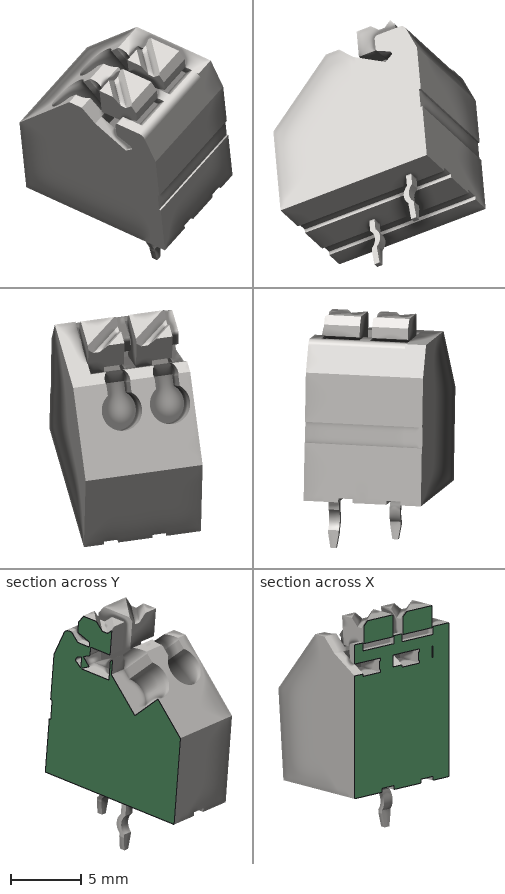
import cadquery as cq
import math

TILT = 5.0

POLE_PITCH = 3.5
POLE_OFFSETS = [0, POLE_PITCH]

LENGTH = 12.0
WIDTH = 8.5
HEIGHT = 11.5
WIRE_FACE_FOOT = 6.76
WIRE_FACE_RUN = HEIGHT - WIRE_FACE_FOOT
BACK_SLOPE_FOOT = 9.24
BACK_SLOPE_RUN = 0.89
BACK_RECESS_BOTTOM = 4.18
BACK_RECESS_TOP = 5.69
BACK_RECESS_DEPTH = 0.14
END_WALL = 1.5
SLOT_SIDE_WIDTH = WIDTH - END_WALL
RIDGE_RADIUS = 0.51

SLOT_START = 5.8
RAMP_CORNER = (6.88, 10.44)
RAMP_END = (9.41, 9.0)
HOOK_TIP = (10.03, 9.48)
HOOK_TIP_TOP = (9.87, 9.72)
HOOK_HEEL = (8.71, 10.23)
SLOT_OPENING = HOOK_HEEL[0]
HOOK_TIP_RADIUS = 0.14
HOOK_RADIUS = 0.25

CHANNEL_START = 2.51
CHANNEL_WIDTH = 1.02
CHANNEL_DEPTH = 0.29

ENTRY_Y = 1.75
ENTRY_RISE = 4.63
BORE_RADIUS = 1.45
NECK_WIDTH = 1.73
CROWN_RADIUS = 0.9
CROWN_RISE = 2.19
ENTRY_DEPTH = 2.78
ENTRY_END = 6.65

POCKET_START = 0.79
POCKET_WIDTH = 2.75
POCKET_END = 10.52
LEVER_CLEARANCE = 0.07
LEVER_WIDTH = POCKET_WIDTH - 2 * LEVER_CLEARANCE
LEVER_FRONT = 6.9
LEVER_BACK = 10.01
LEVER_TOP = 13.07
LEVER_BOTTOM = 10.9
LEVER_BACK_BOTTOM = 11.63
LEVER_HEEL = (8.88, 11.24)
LEVER_CHAMFER_LENGTH = 0.43
LEVER_CHAMFER_HEIGHT = 0.63
STEM_WIDTH = 1.16
STEM_FOOT = (8.71, 9.38)
STEM_SHOULDER = (9.27, 9.95)
ARM_END = 9.5
ARM_TOP = 10.0
ARM_STEP = 0.07
STEM_OFFSET = POCKET_START + LEVER_CLEARANCE + LEVER_WIDTH - STEM_WIDTH

GROOVE_X = 8.92
GROOVE_DEPTH = 0.56
GROOVE_FLOOR = 0.32
GROOVE_TOP = 1.2

PIN_Y = 1.8
PIN_FRONT_X = 4.5
PIN_ROW_PITCH = 5.0
PIN_THICKNESS = 0.43
PIN_WIDTH = 0.77
PIN_TIP_WIDTH = 0.41
PIN_LENGTH = 3.64
PIN_TAPER_START = 2.6
KINK_START = 0.89
KINK_PEAK = 1.62
KINK_END = 2.35
KINK_DEPTH = 0.32


def side_profile(points, width, start=0.0):
    """Closed outline of (x, z) points, extruded across the poles from Y = start."""
    plane = cq.Workplane("XZ", origin=(0, start, 0))
    return plane.polyline(points).close().extrude(-width)


def block():
    outline = [
        (0, 0),
        (LENGTH, 0),
        (LENGTH, BACK_RECESS_BOTTOM),
        (LENGTH - BACK_RECESS_DEPTH, BACK_RECESS_BOTTOM),
        (LENGTH - BACK_RECESS_DEPTH, BACK_RECESS_TOP),
        (LENGTH, BACK_RECESS_TOP),
        (LENGTH, BACK_SLOPE_FOOT),
        (LENGTH - BACK_SLOPE_RUN, HEIGHT),
        (WIRE_FACE_RUN, HEIGHT),
        (0, WIRE_FACE_FOOT),
    ]
    ridge = cq.selectors.NearestToPointSelector((LENGTH - BACK_SLOPE_RUN, SLOT_SIDE_WIDTH / 2, HEIGHT))
    slot_side = side_profile(outline, SLOT_SIDE_WIDTH).edges("|Y").edges(ridge).fillet(RIDGE_RADIUS)
    end_wall = side_profile(outline, END_WALL, SLOT_SIDE_WIDTH)
    return slot_side.union(end_wall)


def lever_slot():
    outline = [
        (SLOT_START, HEIGHT),
        RAMP_CORNER,
        RAMP_END,
        HOOK_TIP,
        HOOK_TIP_TOP,
        HOOK_HEEL,
        (SLOT_OPENING, HEIGHT),
    ]
    heel = cq.selectors.NearestToPointSelector((HOOK_HEEL[0], SLOT_SIDE_WIDTH / 2, HOOK_HEEL[1]))
    tip = cq.selectors.NearestToPointSelector((HOOK_TIP[0], SLOT_SIDE_WIDTH / 2, HOOK_TIP[1]))
    slot = side_profile(outline, SLOT_SIDE_WIDTH)
    slot = slot.edges("|Y").edges(heel).fillet(HOOK_RADIUS)
    return slot.edges("|Y").edges(tip).fillet(HOOK_TIP_RADIUS)


def hook_lip():
    """Waste above the rounded upper lip of the hook."""
    return (
        cq.Workplane("XZ")
        .moveTo(SLOT_OPENING, HEIGHT - HOOK_RADIUS)
        .radiusArc((SLOT_OPENING + HOOK_RADIUS, HEIGHT), HOOK_RADIUS)
        .lineTo(SLOT_OPENING, HEIGHT)
        .close()
        .extrude(-SLOT_SIDE_WIDTH)
    )


def lever_pocket(offset):
    """Clearance around a lever, above the ramp, with a 45 degree back wall."""
    back_drop = HEIGHT - LEVER_BOTTOM
    outline = [
        (LEVER_FRONT, HEIGHT),
        (LEVER_FRONT, LEVER_BOTTOM),
        (POCKET_END - back_drop, LEVER_BOTTOM),
        (POCKET_END, HEIGHT),
    ]
    return side_profile(outline, POCKET_WIDTH, POCKET_START + offset)


def lever_pit(offset):
    """Pit in the ramp beside the lever stem, level with the foot of the ramp."""
    outline = [RAMP_CORNER, (RAMP_CORNER[0], RAMP_END[1]), RAMP_END]
    return side_profile(outline, STEM_OFFSET - POCKET_START, POCKET_START + offset)


def wire_entry(offset):
    """Bore with a round-topped neck above it, ending at a flat floor and an upright wall."""
    rise = ENTRY_RISE * math.sqrt(0.5)
    face = cq.Plane(
        origin=(rise, ENTRY_Y + offset, WIRE_FACE_FOOT + rise),
        xDir=(1, 0, 1),
        normal=(1, 0, -1),
    )
    bore = cq.Workplane(face).circle(BORE_RADIUS).extrude(ENTRY_DEPTH)
    neck = cq.Workplane(face).center(CROWN_RISE / 2, 0).rect(CROWN_RISE, NECK_WIDTH).extrude(ENTRY_DEPTH)
    crown = cq.Workplane(face).center(CROWN_RISE, 0).circle(CROWN_RADIUS).extrude(ENTRY_DEPTH)
    limit = cq.Workplane("XY").box(ENTRY_END, WIDTH, 2 * HEIGHT, centered=False)
    return bore.union(neck).union(crown).intersect(limit)


def base_channel(offset):
    channel = cq.Workplane("XY").box(LENGTH, CHANNEL_WIDTH, CHANNEL_DEPTH, centered=False)
    return channel.translate((0, CHANNEL_START + offset, 0))


def lever(offset):
    start = POCKET_START + LEVER_CLEARANCE + offset
    head = side_profile(
        [
            (LEVER_FRONT, LEVER_BOTTOM),
            (LEVER_HEEL[0], LEVER_BOTTOM),
            LEVER_HEEL,
            (LEVER_BACK, LEVER_BACK_BOTTOM),
            (LEVER_BACK, LEVER_TOP - LEVER_CHAMFER_HEIGHT),
            (LEVER_BACK - LEVER_CHAMFER_LENGTH, LEVER_TOP),
            (LEVER_FRONT, LEVER_TOP),
        ],
        LEVER_WIDTH,
        start,
    )
    stem = side_profile(
        [
            (LEVER_FRONT, LEVER_BOTTOM),
            RAMP_CORNER,
            STEM_FOOT,
            STEM_SHOULDER,
            (LEVER_HEEL[0], LEVER_BOTTOM),
        ],
        STEM_WIDTH,
        STEM_OFFSET + offset,
    )
    arm = side_profile(
        [
            STEM_FOOT,
            RAMP_END,
            (ARM_END, RAMP_END[1]),
            (ARM_END, ARM_TOP),
            STEM_SHOULDER,
        ],
        STEM_WIDTH + ARM_STEP,
        STEM_OFFSET - ARM_STEP + offset,
    )
    return head.cut(screwdriver_groove(start)).union(stem).union(arm)


def screwdriver_groove(start):
    groove_plane = cq.Plane(
        origin=(GROOVE_X, start, LEVER_TOP),
        xDir=(1, 1, 0),
        normal=(1, -1, 0),
    )
    half_top = GROOVE_TOP / 2
    half_floor = GROOVE_FLOOR / 2
    return (
        cq.Workplane(groove_plane)
        .polyline(
            [
                (-half_top, 0),
                (-half_floor, -GROOVE_DEPTH),
                (half_floor, -GROOVE_DEPTH),
                (half_top, 0),
            ]
        )
        .close()
        .extrude(2 * LEVER_WIDTH, both=True)
    )


def build_housing():
    body = block().cut(lever_slot()).cut(hook_lip())
    for offset in POLE_OFFSETS:
        body = body.cut(lever_pocket(offset)).cut(lever_pit(offset))
        body = body.cut(wire_entry(offset)).cut(base_channel(offset))
    for offset in POLE_OFFSETS:
        body = body.union(lever(offset))
    return body


def build_pin(left, center_y, kink):
    """Flat pin hanging from the base, kinked sideways by `kink` and tapered to its tip."""
    right = left + PIN_THICKNESS
    strip = (
        cq.Workplane("XZ", origin=(0, center_y - PIN_WIDTH / 2, 0))
        .moveTo(left, 0)
        .lineTo(left, -KINK_START)
        .threePointArc((left + kink, -KINK_PEAK), (left, -KINK_END))
        .lineTo(left, -PIN_LENGTH)
        .lineTo(right, -PIN_LENGTH)
        .lineTo(right, -KINK_END)
        .threePointArc((right + kink, -KINK_PEAK), (right, -KINK_START))
        .lineTo(right, 0)
        .close()
        .extrude(-PIN_WIDTH)
    )
    half_width = PIN_WIDTH / 2
    half_tip = PIN_TIP_WIDTH / 2
    width_outline = (
        cq.Workplane("YZ", origin=(0, center_y, 0))
        .polyline(
            [
                (-half_width, 0),
                (-half_width, -PIN_TAPER_START),
                (-half_tip, -PIN_LENGTH),
                (half_tip, -PIN_LENGTH),
                (half_width, -PIN_TAPER_START),
                (half_width, 0),
            ]
        )
        .close()
        .extrude(LENGTH)
    )
    return strip.intersect(width_outline)


def tilted(body):
    return body.rotate((0, 0, 0), (0, 1, 0), -TILT)


housing = tilted(build_housing())

pin_places = [
    (PIN_FRONT_X + PIN_ROW_PITCH, -KINK_DEPTH),
    (PIN_FRONT_X, KINK_DEPTH),
]
pins = []
for offset, (left, kink) in zip(POLE_OFFSETS, pin_places):
    pins.append(tilted(build_pin(left, PIN_Y + offset, kink)))

result = cq.Compound.makeCompound([housing.val(), *[pin.val() for pin in pins]])